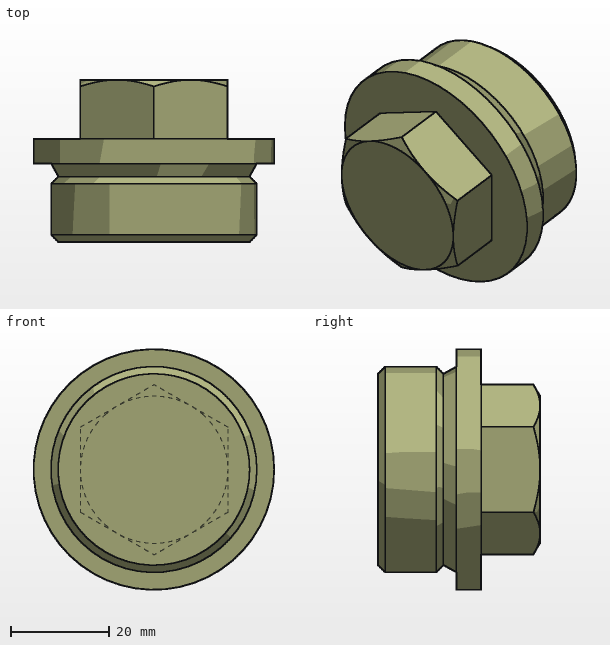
import cadquery as cq
import math

flange_diameter = 49.0
flange_thickness = 5.0
shank_diameter = 41.9
shank_length = 15.95
shank_chamfer = 1.45
neck_taper_length = 2.65
hex_across_flats = 30.0
hex_height = 12.0
hex_chamfer_angle = 30.0

flange_radius = flange_diameter / 2
shank_radius = shank_diameter / 2
neck_radius = shank_radius - shank_chamfer
hex_flat_radius = hex_across_flats / 2
hex_corner_radius = hex_flat_radius / math.cos(math.pi / 6)

neck_y = shank_length - neck_taper_length
flange_back_y = shank_length + flange_thickness
head_end_y = flange_back_y + hex_height


def revolve_about_y(points):
    """Turn a closed (radius, y) outline around the Y axis."""
    return cq.Workplane("XY").polyline(points).close().revolve(360, (0, 0, 0), (0, 1, 0))


def make_turned_body():
    """Shank with chamfered end, V-shaped neck and flange."""
    return revolve_about_y([
        (0, 0),
        (shank_radius - shank_chamfer, 0),
        (shank_radius, shank_chamfer),
        (shank_radius, neck_y - shank_chamfer),
        (neck_radius, neck_y),
        (shank_radius, shank_length),
        (flange_radius, shank_length),
        (flange_radius, flange_back_y),
        (0, flange_back_y),
    ])


def make_hex_head():
    """Hexagon with flats facing +X and -X, its corners trimmed by a cone."""
    corners = [
        (hex_corner_radius * math.sin(math.radians(60 * i)),
         hex_corner_radius * math.cos(math.radians(60 * i)))
        for i in range(6)
    ]
    hexagon = (
        cq.Workplane("XZ", origin=(0, flange_back_y, 0))
        .polyline(corners)
        .close()
        .extrude(-hex_height)
    )
    cone_base_radius = flange_radius
    cone_drop = (cone_base_radius - hex_flat_radius) * math.tan(math.radians(hex_chamfer_angle))
    trimming_cone = revolve_about_y([
        (0, flange_back_y),
        (cone_base_radius, flange_back_y),
        (cone_base_radius, head_end_y - cone_drop),
        (hex_flat_radius, head_end_y),
        (0, head_end_y),
    ])
    return hexagon.intersect(trimming_cone)


result = make_turned_body().union(make_hex_head())